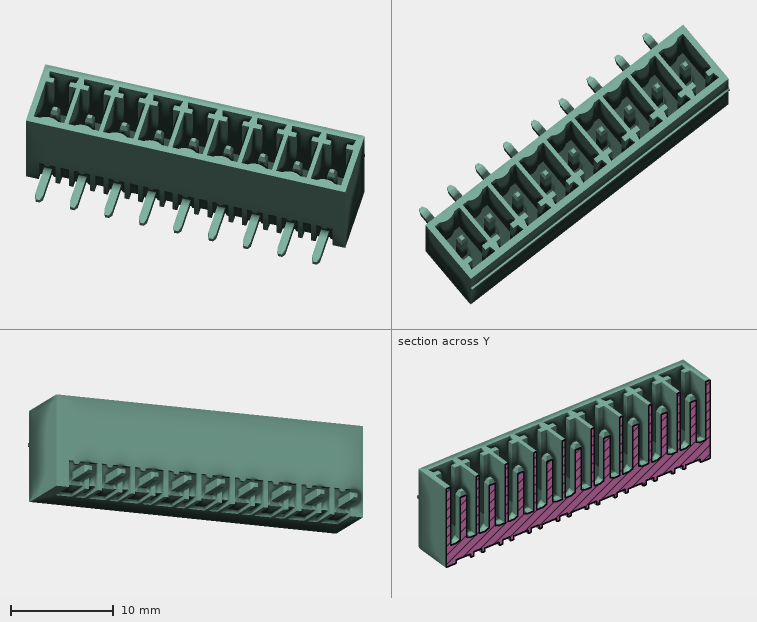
import cadquery as cq

POLES = 9
PITCH = 3.5
LENGTH = 32.3
DEPTH = 7.05
HEIGHT = 9.2
WALL = 0.7
REAR_EDGE_RADIUS = 0.25

RIB_DEPTH = 0.2
RIB_HEIGHT = 0.35
RIB_Z = 5.83

FLOOR_Z = 2.4
SOCKET_WIDTH = 3.08
TAB_FRONT_Y = 5.1
TAB_THICKNESS = 0.55
TAB_REAR_Y = TAB_FRONT_Y + TAB_THICKNESS
TAB_GAP = 1.6
KEYWAY_FRONT_WIDTH = 2.7
KEYWAY_REAR_WIDTH = 3.0
BULGE_WIDTH = 1.8
BULGE_HEIGHT = 0.3

PIN_SIZE = 0.8
PIN_TIP_SIZE = 0.4
PIN_TIP_LENGTH = 0.5
PIN_Y = 3.0
PIN_Z = 1.2
PIN_TOP_Z = 8.0
PIN_PROJECTION = 3.4

COLLAR_DIAMETER = 1.8
COLLAR_TOP_DIAMETER = 1.3
COLLAR_HEIGHT = 0.15

RECESS_HEIGHT = 2.7
PIN_RECESS_WIDTH = 1.7
PIN_RECESS_DEPTH = 0.4
PIN_CHANNEL_HEIGHT = 0.38
LUG_TOP_WIDTH = 0.7
LUG_BOTTOM_WIDTH = 0.35
LUG_HEIGHT = 0.3
LEAD_IN_TOP_WIDTH = PIN_SIZE
LEAD_IN_BOTTOM_WIDTH = 1.15
LEAD_IN_DEPTH = 0.2
GAP_RECESS_WIDTH = 0.9
GAP_RECESS_DEPTH = 0.5
GAP_CHANNEL_HEIGHT = 0.48
CHANNEL_DEPTH = PIN_Y + PIN_SIZE / 2

FIRST_POLE_X = -(POLES - 1) * PITCH / 2
POLE_XS = [FIRST_POLE_X + i * PITCH for i in range(POLES)]
GAP_XS = [x + PITCH / 2 for x in POLE_XS[:-1]]


def block(width, y_start, y_end, z_start, z_end):
    """Box centred on X = 0 between the given Y and Z limits."""
    box = cq.Workplane("XY").box(width, y_end - y_start, z_end - z_start, centered=(True, False, False))
    return box.translate((0, y_start, z_start))


def make_housing():
    body = block(LENGTH, 0, DEPTH, 0, HEIGHT).edges(">Y and <Z").fillet(REAR_EDGE_RADIUS)
    rib_bottom = RIB_Z - RIB_HEIGHT / 2
    rib = block(LENGTH, DEPTH - WALL / 2, DEPTH + RIB_DEPTH, rib_bottom, rib_bottom + RIB_HEIGHT)
    return body.union(rib)


def make_socket():
    """Socket cavity: keyway behind two tabs, and a rounded bulge on the front wall."""
    half = SOCKET_WIDTH / 2
    half_gap = TAB_GAP / 2
    half_bulge = BULGE_WIDTH / 2
    rear_y = DEPTH - WALL
    outline = (
        cq.Workplane("XY", origin=(0, 0, FLOOR_Z))
        .moveTo(-half, WALL)
        .lineTo(-half_bulge, WALL)
        .threePointArc((0, WALL + BULGE_HEIGHT), (half_bulge, WALL))
        .lineTo(half, WALL)
        .lineTo(half, TAB_FRONT_Y)
        .lineTo(half_gap, TAB_FRONT_Y)
        .lineTo(half_gap, TAB_REAR_Y)
        .lineTo(KEYWAY_FRONT_WIDTH / 2, TAB_REAR_Y)
        .lineTo(KEYWAY_REAR_WIDTH / 2, rear_y)
        .lineTo(-KEYWAY_REAR_WIDTH / 2, rear_y)
        .lineTo(-KEYWAY_FRONT_WIDTH / 2, TAB_REAR_Y)
        .lineTo(-half_gap, TAB_REAR_Y)
        .lineTo(-half_gap, TAB_FRONT_Y)
        .lineTo(-half, TAB_FRONT_Y)
        .close()
    )
    return outline.extrude(HEIGHT - FLOOR_Z)


def make_pin_recess():
    """Recess round the pin outlet: lug hanging from its top, flared lead-in below the pin."""
    recess = block(PIN_RECESS_WIDTH, 0, PIN_RECESS_DEPTH, 0, RECESS_HEIGHT)
    lug = (
        cq.Workplane("XZ")
        .moveTo(-LUG_TOP_WIDTH / 2, RECESS_HEIGHT)
        .lineTo(LUG_TOP_WIDTH / 2, RECESS_HEIGHT)
        .lineTo(LUG_BOTTOM_WIDTH / 2, RECESS_HEIGHT - LUG_HEIGHT)
        .lineTo(-LUG_BOTTOM_WIDTH / 2, RECESS_HEIGHT - LUG_HEIGHT)
        .close()
        .extrude(-PIN_RECESS_DEPTH)
    )
    channel = block(PIN_RECESS_WIDTH, 0, CHANNEL_DEPTH, 0, PIN_CHANNEL_HEIGHT)
    return recess.cut(lug).union(channel).union(make_lead_in())


def make_lead_in():
    """Sloped relief between the recess wall and the channel, widening downwards."""
    top_z = PIN_Z - PIN_SIZE / 2
    flare = (
        cq.Workplane("XZ")
        .moveTo(-LEAD_IN_TOP_WIDTH / 2, top_z)
        .lineTo(LEAD_IN_TOP_WIDTH / 2, top_z)
        .lineTo(LEAD_IN_BOTTOM_WIDTH / 2, PIN_CHANNEL_HEIGHT)
        .lineTo(-LEAD_IN_BOTTOM_WIDTH / 2, PIN_CHANNEL_HEIGHT)
        .close()
        .extrude(-(PIN_RECESS_DEPTH + LEAD_IN_DEPTH))
    )
    wedge = (
        cq.Workplane("YZ")
        .moveTo(PIN_RECESS_DEPTH, top_z)
        .lineTo(PIN_RECESS_DEPTH + LEAD_IN_DEPTH, PIN_CHANNEL_HEIGHT)
        .lineTo(PIN_RECESS_DEPTH, PIN_CHANNEL_HEIGHT)
        .close()
        .extrude(LEAD_IN_BOTTOM_WIDTH / 2, both=True)
    )
    return flare.intersect(wedge)


def make_gap_recess():
    """Plain recess between two neighbouring pins."""
    recess = block(GAP_RECESS_WIDTH, 0, GAP_RECESS_DEPTH, 0, RECESS_HEIGHT)
    channel = block(GAP_RECESS_WIDTH, 0, CHANNEL_DEPTH, 0, GAP_CHANNEL_HEIGHT)
    return recess.union(channel)


def make_bar(length):
    """Square bar standing on Z = 0 with a pyramidal tip, `length` long overall."""
    shank_length = length - PIN_TIP_LENGTH
    shank = cq.Workplane("XY").rect(PIN_SIZE, PIN_SIZE).extrude(shank_length)
    tip = (
        cq.Workplane("XY", origin=(0, 0, shank_length))
        .rect(PIN_SIZE, PIN_SIZE)
        .workplane(offset=PIN_TIP_LENGTH)
        .rect(PIN_TIP_SIZE, PIN_TIP_SIZE)
        .loft(ruled=True)
    )
    return shank.union(tip)


def make_pin():
    """L-shaped pin: contact leg up the socket, solder leg out of the front, collar on the floor."""
    half = PIN_SIZE / 2
    contact = make_bar(PIN_TOP_Z - PIN_Z + half).translate((0, PIN_Y, PIN_Z - half))
    solder = (
        make_bar(PIN_Y + half + PIN_PROJECTION)
        .rotate((0, 0, 0), (1, 0, 0), 90)
        .translate((0, PIN_Y + half, PIN_Z))
    )
    collar = (
        cq.Workplane("XY", origin=(0, PIN_Y, FLOOR_Z))
        .circle(COLLAR_DIAMETER / 2)
        .workplane(offset=COLLAR_HEIGHT)
        .circle(COLLAR_TOP_DIAMETER / 2)
        .loft(ruled=True)
    )
    return contact.union(solder).union(collar)


def place_all(housing, shape, xs, join):
    for x in xs:
        placed = shape.translate((x, 0, 0))
        housing = housing.union(placed) if join else housing.cut(placed)
    return housing


result = make_housing()
result = place_all(result, make_socket(), POLE_XS, join=False)
result = place_all(result, make_pin_recess(), POLE_XS, join=False)
result = place_all(result, make_gap_recess(), GAP_XS, join=False)
result = place_all(result, make_pin(), POLE_XS, join=True)